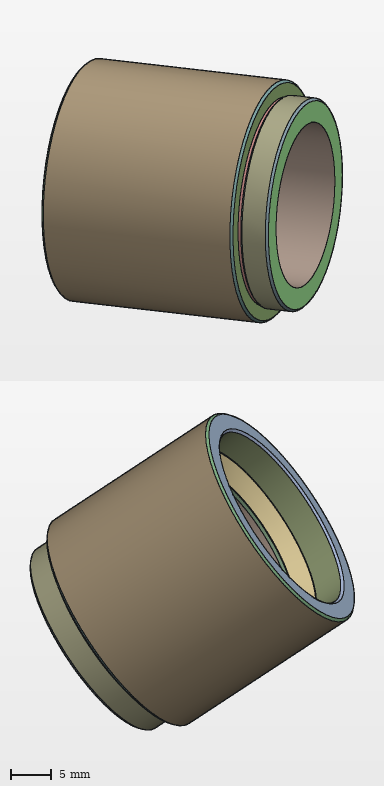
import cadquery as cq

sleeve_radius = 15.0
sleeve_length = 25.05
total_length = 29.0
edge_chamfer = 0.3

spigot_radius = 13.2
relief_depth = 0.25
relief_width = 0.35
relief_radius = spigot_radius - relief_depth

socket_radius = 12.3
bore_radius = 10.23

seat_front = 4.05
seat_length = 2.07
seat_lip = 0.18
washer_thickness = 0.48
seat_land = 0.1
seat_back = seat_front + seat_length
socket_depth = seat_back + washer_thickness

x_start = -total_length / 2


def revolve_profile(points):
    """Revolve (axial position, radius) points around the X axis."""
    profile = cq.Workplane("XY").polyline(points).close()
    return profile.revolve(360, (0, 0, 0), (1, 0, 0)).translate((x_start, 0, 0))


def make_sleeve():
    """Chamfered sleeve with its socket, through bore and relieved spigot."""
    relief_end = sleeve_length + relief_width
    return revolve_profile([
        (0, socket_radius + edge_chamfer),
        (0, sleeve_radius - edge_chamfer),
        (edge_chamfer, sleeve_radius),
        (sleeve_length - edge_chamfer, sleeve_radius),
        (sleeve_length, sleeve_radius - edge_chamfer),
        (sleeve_length, relief_radius),
        (relief_end, relief_radius),
        (relief_end + relief_depth, spigot_radius),
        (total_length - edge_chamfer, spigot_radius),
        (total_length, spigot_radius - edge_chamfer),
        (total_length, bore_radius),
        (socket_depth, bore_radius),
        (socket_depth, socket_radius),
        (edge_chamfer, socket_radius),
    ])


def make_seat_ring():
    """Ring with a conical inner face that narrows towards the bore."""
    return revolve_profile([
        (seat_front, socket_radius),
        (seat_front, socket_radius - seat_lip),
        (seat_back - seat_land, bore_radius),
        (seat_back, bore_radius),
        (seat_back, socket_radius),
    ])


def make_washer():
    """Flat washer between the seat ring and the socket floor."""
    return revolve_profile([
        (seat_back, bore_radius),
        (seat_back, socket_radius),
        (socket_depth, socket_radius),
        (socket_depth, bore_radius),
    ])


sleeve = make_sleeve()
seat_ring = make_seat_ring()
washer = make_washer()

result = cq.Compound.makeCompound([sleeve.val(), seat_ring.val(), washer.val()])